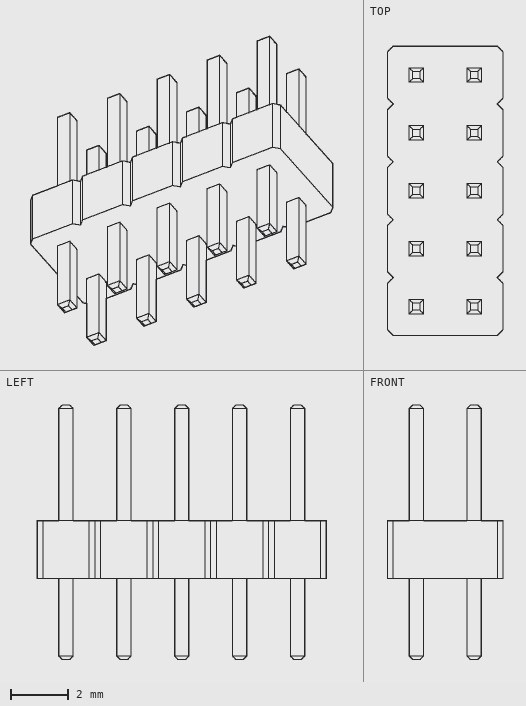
import cadquery as cq

PITCH = 2.0
COLUMNS = 2
ROWS = 5

BODY_WIDTH = COLUMNS * PITCH
BODY_HEIGHT = 2.0
CORNER_CHAMFER = 0.2

PIN_SIDE = 0.5
PIN_ABOVE = 4.0
PIN_BELOW = 2.8
TIP_CHAMFER = 0.125


def body_segment(center_y):
    """One row of the body; its chamfered corners form the side notches between rows."""
    return (
        cq.Workplane("XY")
        .center(0, center_y)
        .rect(BODY_WIDTH, PITCH)
        .extrude(BODY_HEIGHT)
        .edges("|Z")
        .chamfer(CORNER_CHAMFER)
    )


def pin():
    """A pin on the Z axis, running through the body, tapered at both ends."""
    length = PIN_BELOW + BODY_HEIGHT + PIN_ABOVE
    return (
        cq.Workplane("XY")
        .workplane(offset=-PIN_BELOW)
        .rect(PIN_SIDE, PIN_SIDE)
        .extrude(length)
        .faces("<Z or >Z")
        .chamfer(TIP_CHAMFER)
    )


column_positions = [(i - (COLUMNS - 1) / 2) * PITCH for i in range(COLUMNS)]
row_positions = [(j - (ROWS - 1) / 2) * PITCH for j in range(ROWS)]

result = body_segment(row_positions[0])
for y in row_positions[1:]:
    result = result.union(body_segment(y))
result = result.clean()

single_pin = pin()
for x in column_positions:
    for y in row_positions:
        result = result.union(single_pin.translate((x, y, 0)))